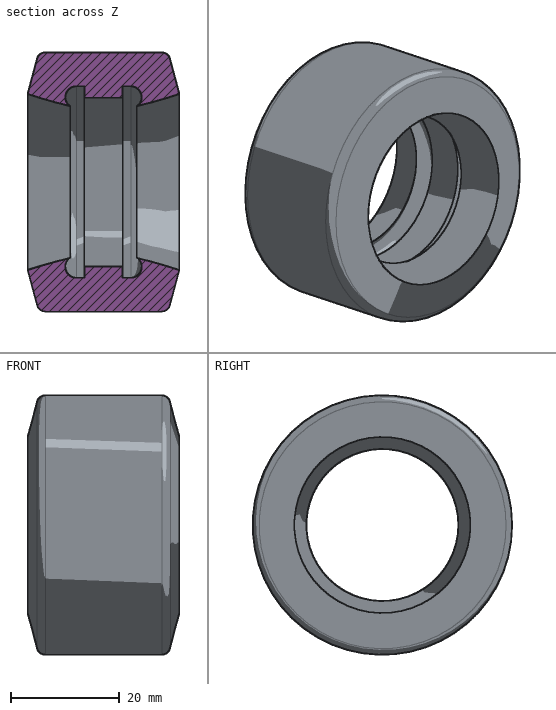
import cadquery as cq
import math

WIDTH = 27.94
OUTER_RADIUS = 47.75 / 2

MOUTH_RADIUS = 16.19
END_FACE_ANGLE = math.radians(15)
EDGE_ROUND = 1.5875

LIP_RADIUS = 13.95
LIP_TIP_X = 6.12
FLARE_BULGE = 0.1
LAND_RADIUS = 30.99 / 2
LAND_HALF_WIDTH = 3.5
POCKET_CENTER_X = 5.0
POCKET_CENTER_RADIUS = 15.6

HALF_WIDTH = WIDTH / 2


def arc_point(center, radius, angle):
    """Point (X, radius) at an angle from +X on a circle in the axial section."""
    return (
        center[0] + radius * math.cos(angle),
        center[1] + radius * math.sin(angle),
    )


def mirrored(point):
    """The same section point on the -X half of the ring."""
    return (-point[0], point[1])


def ring_profile():
    """Closed axial section (X, radius) of the whole ring."""
    round_drop = EDGE_ROUND * (1 - math.sin(END_FACE_ANGLE))
    cone_height = OUTER_RADIUS - round_drop - MOUTH_RADIUS
    cone_end_x = HALF_WIDTH - cone_height * math.tan(END_FACE_ANGLE)
    round_center = (
        cone_end_x - EDGE_ROUND * math.cos(END_FACE_ANGLE),
        OUTER_RADIUS - EDGE_ROUND,
    )
    cone_end = arc_point(round_center, EDGE_ROUND, END_FACE_ANGLE)
    round_middle = arc_point(round_center, EDGE_ROUND, (END_FACE_ANGLE + math.pi / 2) / 2)
    round_top = (round_center[0], OUTER_RADIUS)

    land_end = (LAND_HALF_WIDTH, LAND_RADIUS)
    lip_tip = (LIP_TIP_X, LIP_RADIUS)
    pocket_center = (POCKET_CENTER_X, POCKET_CENTER_RADIUS)
    pocket_round = math.dist(pocket_center, lip_tip)
    pocket_radius = POCKET_CENTER_RADIUS + pocket_round
    pocket_corner = (LAND_HALF_WIDTH, pocket_radius)
    floor_end = (POCKET_CENTER_X, pocket_radius)
    pocket_middle = arc_point(pocket_center, pocket_round, 0)

    mouth = (HALF_WIDTH, MOUTH_RADIUS)
    flare_middle = (
        (LIP_TIP_X + HALF_WIDTH) / 2,
        (LIP_RADIUS + MOUTH_RADIUS) / 2 - FLARE_BULGE,
    )

    return (
        cq.Workplane("XY")
        .moveTo(*mirrored(land_end))
        .lineTo(*land_end)
        .lineTo(*pocket_corner)
        .lineTo(*floor_end)
        .threePointArc(pocket_middle, lip_tip)
        .threePointArc(flare_middle, mouth)
        .lineTo(*cone_end)
        .threePointArc(round_middle, round_top)
        .lineTo(*mirrored(round_top))
        .threePointArc(mirrored(round_middle), mirrored(cone_end))
        .lineTo(*mirrored(mouth))
        .threePointArc(mirrored(flare_middle), mirrored(lip_tip))
        .threePointArc(mirrored(pocket_middle), mirrored(floor_end))
        .lineTo(*mirrored(pocket_corner))
        .close()
    )


result = ring_profile().revolve(360, (0, 0, 0), (1, 0, 0))